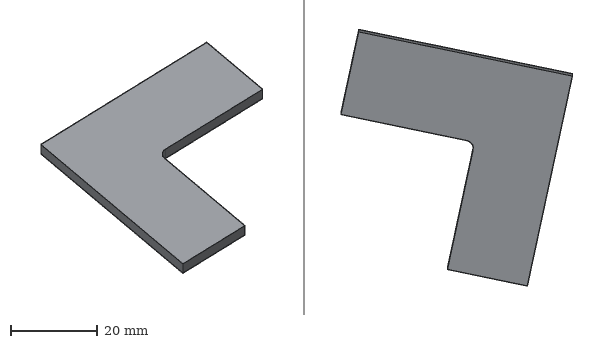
import cadquery as cq

side_length = 50.8
thickness = 3.15
y_arm_width = 20.0
x_arm_width = 19.0
inner_corner_radius = 2.0

outline = [
    (0, 0),
    (side_length, 0),
    (side_length, x_arm_width),
    (y_arm_width, x_arm_width),
    (y_arm_width, side_length),
    (0, side_length),
]
plate = cq.Workplane("XY").polyline(outline).close().extrude(thickness)

inner_corner = (y_arm_width, x_arm_width, thickness / 2)
result = (
    plate.edges("|Z")
    .edges(cq.selectors.NearestToPointSelector(inner_corner))
    .fillet(inner_corner_radius)
)